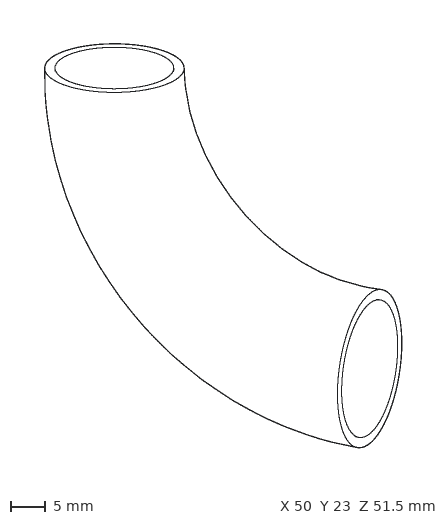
import cadquery as cq
import math

bend_radius = 40.0
top_diameter = 20.0
side_diameter = 22.95
wall = 1.5

mid_offset = bend_radius * math.sqrt(0.5)
mid_point = (bend_radius - mid_offset, -mid_offset)
side_end = (bend_radius, -bend_radius)


def tapered_bend(start_diameter, end_diameter):
    """Solid quarter bend whose round section grows from one end to the other."""
    centreline = cq.Workplane("XZ").threePointArc(mid_point, side_end)
    sections = (
        cq.Workplane("XY")
        .circle(start_diameter / 2)
        .copyWorkplane(cq.Workplane("YZ", origin=(bend_radius, 0, -bend_radius)))
        .circle(end_diameter / 2)
    )
    return sections.sweep(centreline, multisection=True)


outer = tapered_bend(top_diameter, side_diameter)
bore = tapered_bend(top_diameter - 2 * wall, side_diameter - 2 * wall)

result = outer.cut(bore)